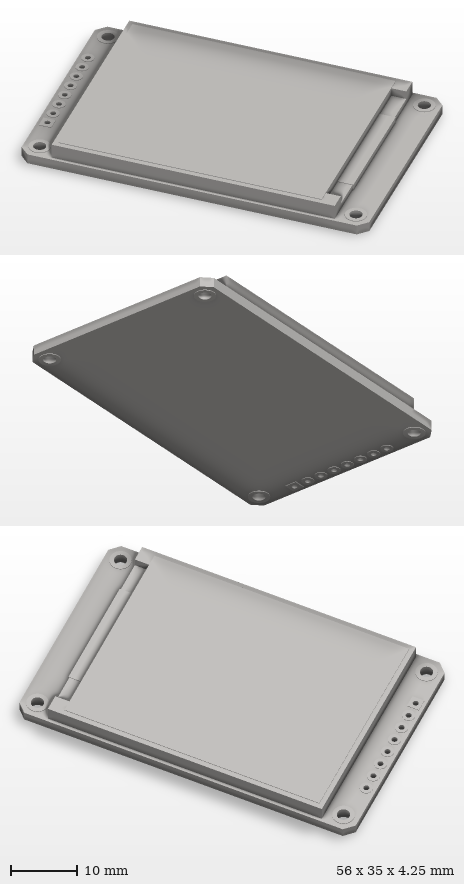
import cadquery as cq

BOARD_LENGTH = 56.0
BOARD_WIDTH = 35.0
BOARD_THICKNESS = 1.65
CORNER_CHAMFER = 1.48

PAD_THICKNESS = 0.1
PAD_SPAN = BOARD_THICKNESS + 2 * PAD_THICKNESS
PAD_PLANE = cq.Workplane("XY", origin=(0, 0, -PAD_THICKNESS))

MOUNT_HOLE_DIAMETER = 2.0
MOUNT_PAD_DIAMETER = 3.4
MOUNT_HOLE_INSET = 2.53

PIN_COUNT = 8
PIN_PITCH = 2.54
PIN_HOLE_DIAMETER = 0.9
PIN_PAD_SIZE = 2.0
PIN_ROW_INSET = 1.53

OVERALL_HEIGHT = 4.25
PANEL_LENGTH = 45.6
PANEL_WIDTH = 34.0
SCREEN_WIDTH = 32.4
SCREEN_LENGTH = 42.4
SCREEN_BORDER = (PANEL_WIDTH - SCREEN_WIDTH) / 2
SCREEN_THICKNESS = 0.1
SCREEN_TOP = OVERALL_HEIGHT - PAD_THICKNESS
PANEL_TOP = SCREEN_TOP - SCREEN_THICKNESS
PANEL_END = PANEL_LENGTH / 2
SCREEN_START = -PANEL_END + SCREEN_BORDER
SCREEN_END = SCREEN_START + SCREEN_LENGTH

LEDGE_WIDTH = 28.7
LEDGE_HEIGHT = 1.0
TAIL_WIDTH = 18.5
TAIL_RISE = 0.1
TAIL_OVERHANG = 0.15

MOUNT_POINTS = [
    (x_side * (BOARD_LENGTH / 2 - MOUNT_HOLE_INSET), y_side * (BOARD_WIDTH / 2 - MOUNT_HOLE_INSET))
    for x_side in (-1, 1)
    for y_side in (-1, 1)
]
PIN_POINTS = [
    (-BOARD_LENGTH / 2 + PIN_ROW_INSET, (pin - (PIN_COUNT - 1) / 2) * PIN_PITCH)
    for pin in range(PIN_COUNT)
]


def block(x_start, x_end, width, z_start, z_end):
    """Box symmetric about Y = 0, between the given X and Z limits."""
    return (
        cq.Workplane("XY", origin=((x_start + x_end) / 2, 0, z_start))
        .rect(x_end - x_start, width)
        .extrude(z_end - z_start)
    )


def make_board():
    board = block(-BOARD_LENGTH / 2, BOARD_LENGTH / 2, BOARD_WIDTH, 0, BOARD_THICKNESS)
    return board.edges("|Z").chamfer(CORNER_CHAMFER)


def make_pads():
    """Pads spanning the board thickness and standing proud of both faces."""
    mount_pads = PAD_PLANE.pushPoints(MOUNT_POINTS).circle(MOUNT_PAD_DIAMETER / 2).extrude(PAD_SPAN)
    square_pad = PAD_PLANE.pushPoints(PIN_POINTS[:1]).rect(PIN_PAD_SIZE, PIN_PAD_SIZE).extrude(PAD_SPAN)
    round_pads = PAD_PLANE.pushPoints(PIN_POINTS[1:]).circle(PIN_PAD_SIZE / 2).extrude(PAD_SPAN)
    return mount_pads.union(square_pad).union(round_pads)


def make_display():
    ledge_top = BOARD_THICKNESS + LEDGE_HEIGHT
    tail_top = ledge_top + TAIL_RISE
    tail_end = PANEL_END + TAIL_OVERHANG
    panel = block(-PANEL_END, PANEL_END, PANEL_WIDTH, BOARD_THICKNESS, PANEL_TOP)
    ledge_cut = block(SCREEN_END, PANEL_END, LEDGE_WIDTH, ledge_top, PANEL_TOP)
    screen = block(SCREEN_START, SCREEN_END, SCREEN_WIDTH, PANEL_TOP, SCREEN_TOP)
    tail = block(SCREEN_END, tail_end, TAIL_WIDTH, BOARD_THICKNESS, tail_top)
    return panel.cut(ledge_cut).union(screen).union(tail)


def make_holes():
    """Cutters for every through hole."""
    mount_holes = PAD_PLANE.pushPoints(MOUNT_POINTS).circle(MOUNT_HOLE_DIAMETER / 2).extrude(PAD_SPAN)
    pin_holes = PAD_PLANE.pushPoints(PIN_POINTS).circle(PIN_HOLE_DIAMETER / 2).extrude(PAD_SPAN)
    return mount_holes.union(pin_holes)


result = make_board().union(make_pads()).cut(make_holes()).union(make_display())